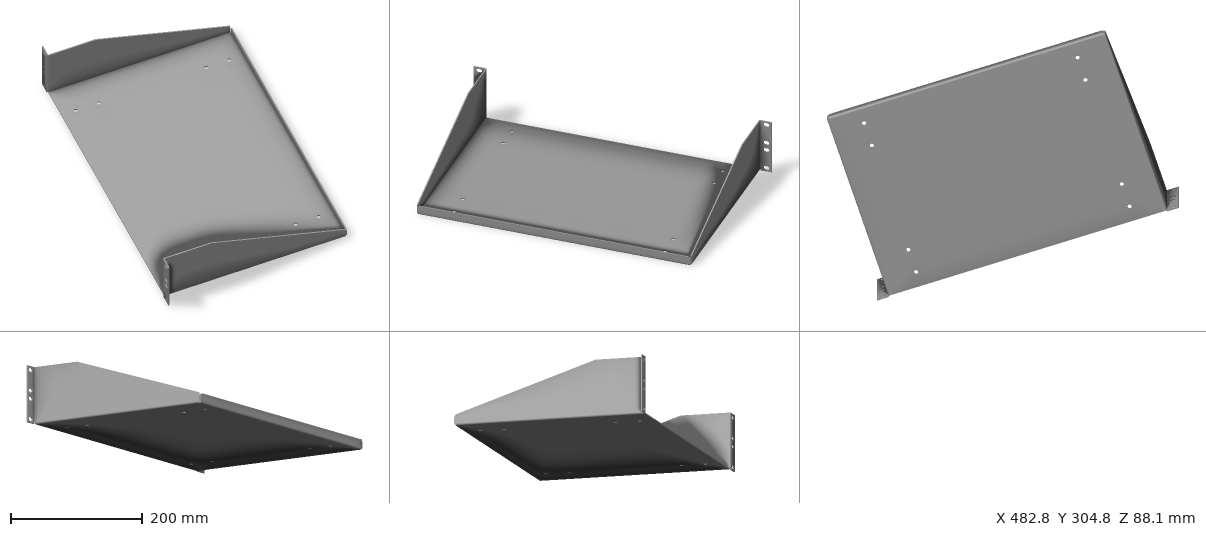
import cadquery as cq
import math

OVERALL_WIDTH = 482.75
OVERALL_DEPTH = 304.8
OVERALL_HEIGHT = 88.09

SHEET = 1.9
INNER_BEND = 0.76
OUTER_BEND = INNER_BEND + SHEET

TRAY_WIDTH = 445.0
LIP_HEIGHT = 15.2
LIP_CORNER_RADIUS = 5.0
LIP_SIDE_INSET = 1.7
CORNER_GAP = 0.2
WALL_LEVEL_DEPTH = 80.0
WALL_REAR_HEIGHT = 16.2

SLOT_LENGTH = 9.5
SLOT_HEIGHT = 6.35
SLOT_SPACING = 465.1
RACK_UNIT = 44.45
SLOT_PITCH = 31.75

FLOOR_HOLE_DIAMETER = 6.35
FLOOR_HOLE_SPACING_X = 341.5
FLOOR_HOLE_FRONT_Y = 25.4
FLOOR_HOLE_REAR_Y = 279.4
FLOOR_HOLE_PAIR_PITCH = 38.1

HALF_TRAY = TRAY_WIDTH / 2
SIDES = (-1, 1)


def box(x_min, x_max, y_min, y_max, z_min, z_max):
    """Axis-aligned block between the given limits."""
    size = (x_max - x_min, y_max - y_min, z_max - z_min)
    return cq.Workplane("XY").box(*size, centered=False).translate((x_min, y_min, z_min))


def make_bend(x_direction, axis_direction, origin, length):
    """Quarter-round strip of sheet in the (-x, -y) quadrant of a section across the bend axis."""
    diagonal = math.sqrt(0.5)
    return (
        cq.Workplane(cq.Plane(origin=origin, xDir=x_direction, normal=axis_direction))
        .moveTo(-OUTER_BEND, 0)
        .threePointArc((-OUTER_BEND * diagonal, -OUTER_BEND * diagonal), (0, -OUTER_BEND))
        .lineTo(0, -INNER_BEND)
        .threePointArc((-INNER_BEND * diagonal, -INNER_BEND * diagonal), (-INNER_BEND, 0))
        .close()
        .extrude(length)
    )


def make_floor():
    """Flat bottom, ending where the side and rear bends begin."""
    half_width = HALF_TRAY - OUTER_BEND
    return box(-half_width, half_width, SHEET, OVERALL_DEPTH - OUTER_BEND, 0, SHEET)


def make_left_side():
    """Left wall with its floor bend, ear bend and rack ear."""
    wall_rear_y = OVERALL_DEPTH - SHEET - CORNER_GAP
    bend_rear_y = OVERALL_DEPTH - OUTER_BEND
    wall = (
        cq.Workplane("YZ", origin=(-HALF_TRAY, 0, 0))
        .moveTo(OUTER_BEND, OUTER_BEND)
        .lineTo(wall_rear_y, OUTER_BEND)
        .lineTo(wall_rear_y, WALL_REAR_HEIGHT)
        .lineTo(WALL_LEVEL_DEPTH, OVERALL_HEIGHT)
        .lineTo(OUTER_BEND, OVERALL_HEIGHT)
        .close()
        .extrude(SHEET)
    )
    floor_bend = make_bend(
        (1, 0, 0),
        (0, -1, 0),
        (-HALF_TRAY + OUTER_BEND, bend_rear_y, OUTER_BEND),
        bend_rear_y - SHEET,
    )
    ear_bend = make_bend(
        (-1, 0, 0),
        (0, 0, -1),
        (-HALF_TRAY - INNER_BEND, OUTER_BEND, OVERALL_HEIGHT),
        OVERALL_HEIGHT - OUTER_BEND,
    )
    ear = box(-OVERALL_WIDTH / 2, -HALF_TRAY - INNER_BEND, 0, SHEET, 0, OVERALL_HEIGHT)
    return wall.union(floor_bend).union(ear_bend).union(ear)


def make_rear_lip():
    """Rear upright with rounded top corners and its floor bend."""
    half_width = HALF_TRAY - LIP_SIDE_INSET
    lip = (
        box(-half_width, half_width, OVERALL_DEPTH - SHEET, OVERALL_DEPTH, OUTER_BEND, LIP_HEIGHT)
        .edges("|Y and >Z")
        .fillet(LIP_CORNER_RADIUS)
    )
    bend_half = HALF_TRAY - OUTER_BEND
    bend = make_bend(
        (0, -1, 0),
        (-1, 0, 0),
        (bend_half, OVERALL_DEPTH - OUTER_BEND, OUTER_BEND),
        2 * bend_half,
    )
    return lip.union(bend)


def make_ear_slots():
    """Cutters for the four slots in each ear: an outer pair and an inner pair."""
    first_slot_z = (OVERALL_HEIGHT - RACK_UNIT - SLOT_PITCH) / 2
    slot_points = [
        (side * SLOT_SPACING / 2, first_slot_z + unit * RACK_UNIT + step * SLOT_PITCH)
        for side in SIDES
        for unit in (0, 1)
        for step in (0, 1)
    ]
    return cq.Workplane("XZ").pushPoints(slot_points).slot2D(SLOT_LENGTH, SLOT_HEIGHT).extrude(-SHEET)


def make_floor_holes():
    """Cutters for the two pairs of mounting holes on each side of the floor."""
    hole_rows = (
        FLOOR_HOLE_FRONT_Y,
        FLOOR_HOLE_FRONT_Y + FLOOR_HOLE_PAIR_PITCH,
        FLOOR_HOLE_REAR_Y - FLOOR_HOLE_PAIR_PITCH,
        FLOOR_HOLE_REAR_Y,
    )
    hole_points = [(side * FLOOR_HOLE_SPACING_X / 2, y) for side in SIDES for y in hole_rows]
    return cq.Workplane("XY").pushPoints(hole_points).circle(FLOOR_HOLE_DIAMETER / 2).extrude(SHEET)


left_side = make_left_side()
right_side = left_side.mirror("YZ")
shelf = make_floor().union(left_side).union(right_side).union(make_rear_lip())
result = shelf.cut(make_ear_slots()).cut(make_floor_holes())